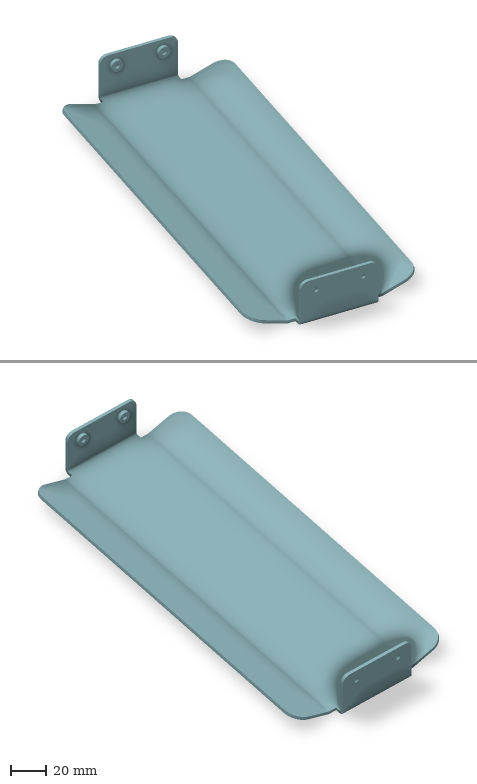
import cadquery as cq
import math

length = 255.0
width = 110.0
height = 30.0
thickness = 2.0
inner_bend_radius = 1.0
outer_bend_radius = inner_bend_radius + thickness

tray_length = 242.5
wing_bend_y = 30.5
wing_angle = math.radians(18.3)
wing_corner_radius = 10.0
wing_inner_bend_radius = 3.0
wing_outer_bend_radius = wing_inner_bend_radius + thickness

flange_width = 50.0
flange_corner_radius = 5.0

boss_diameter = 7.6
boss_height = 2.3
hole_diameter = 3.0
hole_spacing = 30.0
hole_z = height - 7.6


def make_tray():
    """Bent cross-section run along X, with the wing corners rounded."""
    tip_y = width / 2
    tip_z = (tip_y - wing_bend_y) * math.tan(wing_angle)
    tip_top_y = tip_y - thickness * math.sin(wing_angle)
    tip_top_z = tip_z + thickness * math.cos(wing_angle)
    top_bend_y = wing_bend_y - thickness * math.tan(wing_angle / 2)
    section = [
        (-wing_bend_y, 0),
        (wing_bend_y, 0),
        (tip_y, tip_z),
        (tip_top_y, tip_top_z),
        (top_bend_y, thickness),
        (-top_bend_y, thickness),
        (-tip_top_y, tip_top_z),
        (-tip_y, tip_z),
    ]
    tray = cq.Workplane("YZ").polyline(section).close().extrude(tray_length / 2, both=True)
    for side in (-1, 1):
        outer_edge = cq.selectors.NearestToPointSelector((0, side * wing_bend_y, 0))
        tray = tray.edges("|X").edges(outer_edge).fillet(wing_outer_bend_radius)
        inner_edge = cq.selectors.NearestToPointSelector((0, side * top_bend_y, thickness))
        tray = tray.edges("|X").edges(inner_edge).fillet(wing_inner_bend_radius)
    corner_y = (tip_y + tip_top_y) / 2
    corner_z = (tip_z + tip_top_z) / 2
    for end in (-1, 1):
        for side in (-1, 1):
            corner_point = (end * tray_length / 2, side * corner_y, corner_z)
            corner_edge = cq.selectors.NearestToPointSelector(corner_point)
            tray = tray.edges(corner_edge).fillet(wing_corner_radius)
    return tray


def make_flanges():
    """U-shaped strip whose upright ends form the two flanges."""
    strip = (
        cq.Workplane("XY")
        .box(length, flange_width, height, centered=(True, True, False))
        .edges("|Y and <Z")
        .fillet(outer_bend_radius)
    )
    opening = (
        cq.Workplane("XY")
        .workplane(offset=thickness)
        .box(length - 2 * thickness, flange_width, height, centered=(True, True, False))
        .edges("|Y and <Z")
        .fillet(inner_bend_radius)
    )
    return strip.cut(opening).edges("|X and >Z").fillet(flange_corner_radius)


def rods_between(x_start, x_end, diameter):
    """Cylinders along X at the two hole positions."""
    return (
        cq.Workplane("YZ", origin=(x_start, 0, hole_z))
        .pushPoints([(-hole_spacing / 2, 0), (hole_spacing / 2, 0)])
        .circle(diameter / 2)
        .extrude(x_end - x_start)
    )


result = make_tray().union(make_flanges())

inner_face_x = length / 2 - thickness
for side in (-1, 1):
    boss_root_x = side * (inner_face_x + thickness / 2)
    boss_end_x = side * (inner_face_x - boss_height)
    result = result.union(rods_between(boss_root_x, boss_end_x, boss_diameter))

result = result.cut(rods_between(-length / 2, length / 2, hole_diameter))